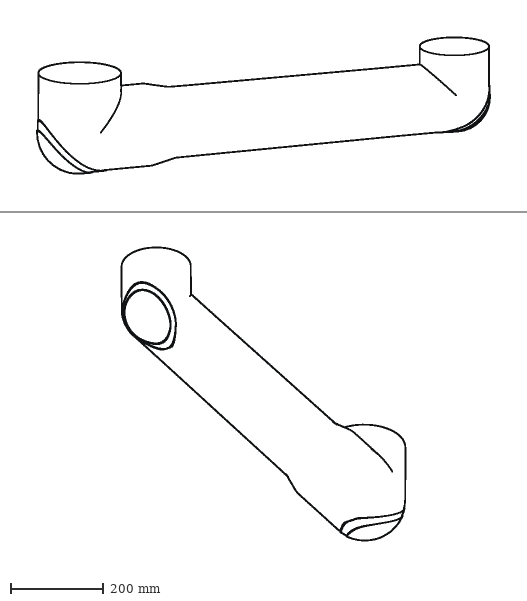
import cadquery as cq

overall_length = 1033.0
overall_height = 223.0

large_radius = 90.0
large_cap_rise = 3.0
large_collar_height = 23.0

small_radius = 75.0
small_cap_rise = 2.0
small_collar_height = 25.0
small_top = 112.0

elbow_end = 112.0
cone_start = 155.0
cone_end = 212.0
cone_end_radius = 77.0
sleeve_start = 89.0
sleeve_end = 104.0

cap_lower_end = (-0.6, -1.0)
cap_middle = (0.45, -0.43)
cap_upper_end = (1.03, 0.39)
cap_rim_width = 0.1
cap_reach = 1.5

large_top = overall_height - large_radius - large_cap_rise
large_y = -overall_length / 2 + large_radius + large_cap_rise
small_y = overall_length / 2 - small_radius - small_cap_rise


def elbow_body(radius, top, arm_length):
    """Vertical riser and horizontal arm stub (toward +Y) meeting in a ball corner."""
    riser = cq.Workplane("XY").circle(radius).extrude(top)
    stub = cq.Workplane("XZ").circle(radius).extrude(-arm_length)
    ball = cq.Workplane("XY").sphere(radius)
    return riser.union(stub).union(ball)


def corner_region(radius, inset):
    """Block beyond a curved boundary, moved by the inset toward the outer lower corner."""

    def place(point):
        outward, up = point
        return (-(outward + inset) * radius, (up - inset) * radius)

    far = cap_reach
    return (
        cq.Workplane("YZ")
        .moveTo(*place(cap_lower_end))
        .threePointArc(place(cap_middle), place(cap_upper_end))
        .lineTo(*place((far, cap_upper_end[1])))
        .lineTo(*place((far, -far)))
        .lineTo(*place((cap_lower_end[0], -far)))
        .close()
        .extrude(far * radius, both=True)
    )


def corner_cap(body, radius, rise, inset):
    """Outer corner of the elbow body, raised outward and downward."""
    return body.translate((0, -rise, -rise)).intersect(corner_region(radius, inset))


def elbow(radius, top, collar_height, cap_rise, arm_length):
    """Elbow with a top collar and a slightly raised, stepped cap over its outer corner."""
    collar_base = top - collar_height
    body = elbow_body(radius, collar_base, arm_length)
    cap_rim = corner_cap(body, radius, cap_rise / 2, 0)
    cap = corner_cap(body, radius, cap_rise, cap_rim_width)
    collar = cq.Workplane("XY").workplane(offset=collar_base).circle(radius).extrude(collar_height)
    return body.union(cap_rim).union(cap).union(collar, clean=False)


def arm():
    """Plain large end, cone and long tube, turned about the Y axis."""
    outline = [
        (large_radius, large_y + elbow_end),
        (large_radius, large_y + cone_start),
        (cone_end_radius, large_y + cone_end),
        (small_radius, small_y - sleeve_end),
        (small_radius, small_y - sleeve_start),
    ]
    start_y = outline[0][1]
    end_y = outline[-1][1]
    profile = [(0, start_y)] + outline + [(0, end_y)]
    return cq.Workplane("XY").polyline(profile).close().revolve(360, (0, 0, 0), (0, 1, 0))


large_elbow = elbow(large_radius, large_top, large_collar_height, large_cap_rise, elbow_end)
large_elbow = large_elbow.translate((0, large_y, 0))

small_elbow = elbow(small_radius, small_top, small_collar_height, small_cap_rise, sleeve_start)
small_elbow = small_elbow.rotate((0, 0, 0), (0, 0, 1), 180).translate((0, small_y, 0))

result = arm().union(large_elbow, clean=False).union(small_elbow, clean=False)